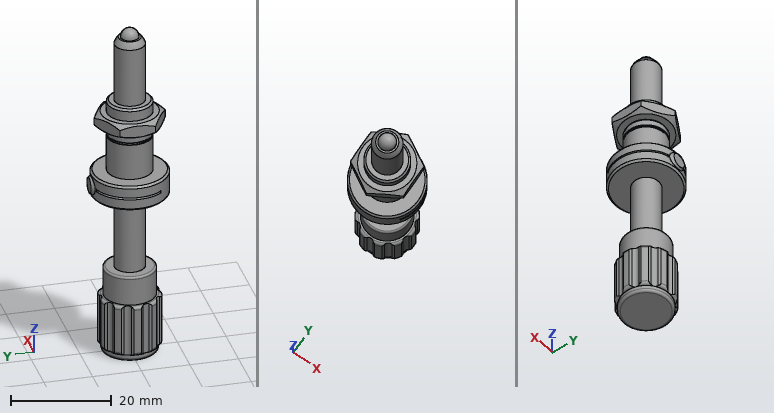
import cadquery as cq
import math

OVERALL_DEPTH = 16.3

OVERALL_LENGTH = 71.9
KNURL_BOTTOM_Z = 1.45
KNURL_TOP_Z = 12.45
KNOB_TOP_Z = 18.6
FLANGE_BOTTOM_Z = 35.0
FLANGE_TOP_Z = 40.3
FLANGE_MIDDLE_Z = (FLANGE_BOTTOM_Z + FLANGE_TOP_Z) / 2
RING_GROOVE_Z = 48.0
NECK_BOTTOM_Z = 49.8
NUT_BOTTOM_Z = 50.3
NUT_TOP_Z = 53.4
SLEEVE_TOP_Z = 56.0
SHOULDER_BOTTOM_Z = 68.6

SHAFT_RADIUS = 3.15
TIP_RADIUS = 1.9
SHOULDER_TOP_RADIUS = 2.3
SHOULDER_BULGE = 0.11

SLEEVE_RADIUS = 4.7
NECK_RADIUS = 4.4
RING_GROOVE_HEIGHT = 0.4
RING_GROOVE_RADIUS = 4.45
SMALL_CHAMFER = 0.4

NUT_ACROSS_FLATS = 12.7
NUT_FACE_RADIUS = 5.9
NUT_CHAMFER_ANGLE = 30.0

FLANGE_DIAMETER = 15.9
FLANGE_RADIUS = FLANGE_DIAMETER / 2
SLOT_END_Y = -4.75
SLOT_HEIGHT = 0.4

SCREW_INNER_Y = 5.2
SCREW_OUTER_Y = OVERALL_DEPTH - FLANGE_RADIUS
SCREW_RADIUS = 2.3
SCREW_END_RADIUS = 1.65
SCREW_CHAMFER_LENGTH = 0.9

KNOB_COLLAR_DIAMETER = 10.7
KNOB_COLLAR_RADIUS = KNOB_COLLAR_DIAMETER / 2
KNOB_BASE_RADIUS = 5.75
KNURL_DIAMETER = 12.9
KNURL_RADIUS = KNURL_DIAMETER / 2
COLLAR_ROUNDING = 0.4
KNURL_ROUNDING = 0.65
BASE_ROUNDING = 0.6
FLUTE_COUNT = 10
FLUTE_RADIUS = 1.0
FLUTE_FLOOR_RADIUS = 5.75
FLUTE_EDGE_CHAMFER = 0.35


def cylinder(radius, bottom_z, top_z):
    return cq.Workplane("XY").workplane(offset=bottom_z).circle(radius).extrude(top_z - bottom_z)


def ring(outer_radius, inner_radius, bottom_z, top_z):
    return cylinder(outer_radius, bottom_z, top_z).cut(cylinder(inner_radius, bottom_z, top_z))


def make_plunger():
    """Shaft from the knob to the tip, ending in a domed shoulder and a half ball."""
    shoulder_top_z = OVERALL_LENGTH - TIP_RADIUS
    bulge_step = SHOULDER_BULGE / math.sqrt(2)
    shoulder_mid = (
        (SHAFT_RADIUS + SHOULDER_TOP_RADIUS) / 2 + bulge_step,
        (SHOULDER_BOTTOM_Z + shoulder_top_z) / 2 + bulge_step,
    )
    ball_step = TIP_RADIUS / math.sqrt(2)
    ball_mid = (ball_step, shoulder_top_z + ball_step)
    return (
        cq.Workplane("XZ")
        .moveTo(0, KNURL_TOP_Z)
        .lineTo(SHAFT_RADIUS, KNURL_TOP_Z)
        .lineTo(SHAFT_RADIUS, SHOULDER_BOTTOM_Z)
        .threePointArc(shoulder_mid, (SHOULDER_TOP_RADIUS, shoulder_top_z))
        .lineTo(TIP_RADIUS, shoulder_top_z)
        .threePointArc(ball_mid, (0, OVERALL_LENGTH))
        .close()
        .revolve(360, (0, 0), (0, 1))
    )


def make_sleeve():
    """Round sleeve with a snap-ring groove and a reduced neck below the nut."""
    sleeve = cylinder(SLEEVE_RADIUS, FLANGE_TOP_Z, SLEEVE_TOP_Z).faces(">Z").chamfer(SMALL_CHAMFER)
    groove = ring(SLEEVE_RADIUS, RING_GROOVE_RADIUS, RING_GROOVE_Z, RING_GROOVE_Z + RING_GROOVE_HEIGHT)
    neck = ring(SLEEVE_RADIUS, NECK_RADIUS, NECK_BOTTOM_Z, NUT_BOTTOM_Z)
    return sleeve.cut(groove).cut(neck)


def make_nut():
    """Hexagon nut whose corners are cut back by a cone on both faces."""
    corner_radius = NUT_ACROSS_FLATS / math.sqrt(3)
    corner_drop = (corner_radius - NUT_FACE_RADIUS) * math.tan(math.radians(NUT_CHAMFER_ANGLE))
    hexagon = (
        cq.Workplane("XY")
        .workplane(offset=NUT_BOTTOM_Z)
        .transformed(rotate=(0, 0, 90))
        .polygon(6, 2 * corner_radius)
        .extrude(NUT_TOP_Z - NUT_BOTTOM_Z)
    )
    cone_envelope = (
        cylinder(corner_radius, NUT_BOTTOM_Z, NUT_TOP_Z)
        .faces("<Z or >Z")
        .edges()
        .chamfer(corner_drop, corner_radius - NUT_FACE_RADIUS)
    )
    return hexagon.intersect(cone_envelope)


def make_flange():
    """Flange disc, slotted at mid-height everywhere except near its -Y side."""
    disc = cylinder(FLANGE_RADIUS, FLANGE_BOTTOM_Z, FLANGE_TOP_Z).faces("<Z or >Z").chamfer(SMALL_CHAMFER)
    slot_length = FLANGE_RADIUS - SLOT_END_Y
    slot = (
        cq.Workplane("XY")
        .box(2 * FLANGE_RADIUS, slot_length, SLOT_HEIGHT)
        .translate((0, SLOT_END_Y + slot_length / 2, FLANGE_MIDDLE_Z))
    )
    return disc.cut(slot)


def make_screw():
    """Radial screw along Y with both ends coned; it bridges the flange slot."""
    return (
        cq.Workplane("XY")
        .moveTo(0, SCREW_INNER_Y)
        .lineTo(SCREW_END_RADIUS, SCREW_INNER_Y)
        .lineTo(SCREW_RADIUS, SCREW_INNER_Y + SCREW_CHAMFER_LENGTH)
        .lineTo(SCREW_RADIUS, SCREW_OUTER_Y - SCREW_CHAMFER_LENGTH)
        .lineTo(SCREW_END_RADIUS, SCREW_OUTER_Y)
        .lineTo(0, SCREW_OUTER_Y)
        .close()
        .revolve(360, (0, 0), (0, 1))
        .translate((0, 0, FLANGE_MIDDLE_Z))
    )


def make_knurl():
    """Fluted grip: teeth face the X axis, flutes face the Y axis."""
    height = KNURL_TOP_Z - KNURL_BOTTOM_Z
    half_pitch = 180 / FLUTE_COUNT
    flutes = (
        cq.Workplane("XY")
        .workplane(offset=KNURL_BOTTOM_Z)
        .polarArray(FLUTE_FLOOR_RADIUS + FLUTE_RADIUS, half_pitch, 360, FLUTE_COUNT)
        .circle(FLUTE_RADIUS)
        .extrude(height)
    )
    grip = cylinder(KNURL_RADIUS, KNURL_BOTTOM_Z, KNURL_TOP_Z).cut(flutes)
    grip = grip.edges("|Z").chamfer(FLUTE_EDGE_CHAMFER)
    rounded_envelope = (
        cylinder(KNURL_RADIUS, KNURL_BOTTOM_Z, KNURL_TOP_Z)
        .faces("<Z or >Z")
        .edges()
        .fillet(KNURL_ROUNDING)
    )
    return grip.intersect(rounded_envelope)


def make_knob():
    """Knob with a smooth collar, a fluted grip and a rounded base."""
    collar = cylinder(KNOB_COLLAR_RADIUS, KNURL_TOP_Z, KNOB_TOP_Z).faces(">Z").edges().fillet(COLLAR_ROUNDING)
    base = cylinder(KNOB_BASE_RADIUS, 0, KNURL_BOTTOM_Z).faces("<Z").edges().fillet(BASE_ROUNDING)
    return collar.union(base).union(make_knurl())


result = make_plunger()
for piece in (make_sleeve(), make_nut(), make_flange(), make_screw(), make_knob()):
    result = result.union(piece)